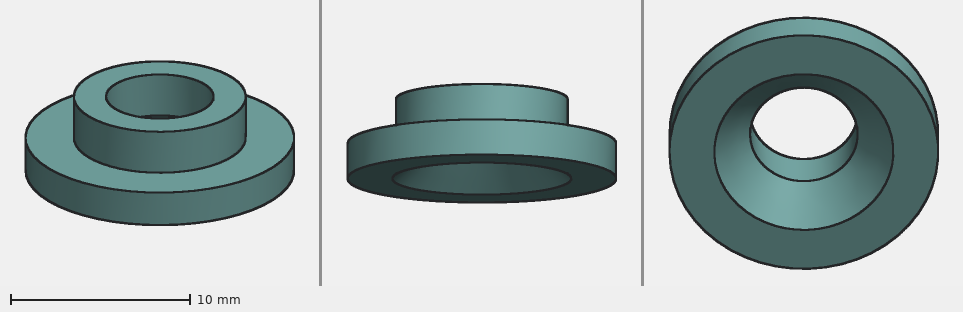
import cadquery as cq

flange_diameter = 15.0
boss_diameter = 9.6
bore_diameter = 6.0
total_height = 4.5
flange_height = 2.0

countersink_depth = flange_height

flange = cq.Workplane("XY").circle(flange_diameter / 2).extrude(flange_height)
boss = cq.Workplane("XY").circle(boss_diameter / 2).extrude(total_height)
body = flange.union(boss)

bored_body = body.cut(cq.Workplane("XY").circle(bore_diameter / 2).extrude(total_height))

bore_mouth = cq.selectors.RadiusNthSelector(0)
result = bored_body.faces("<Z").edges(bore_mouth).chamfer(countersink_depth)